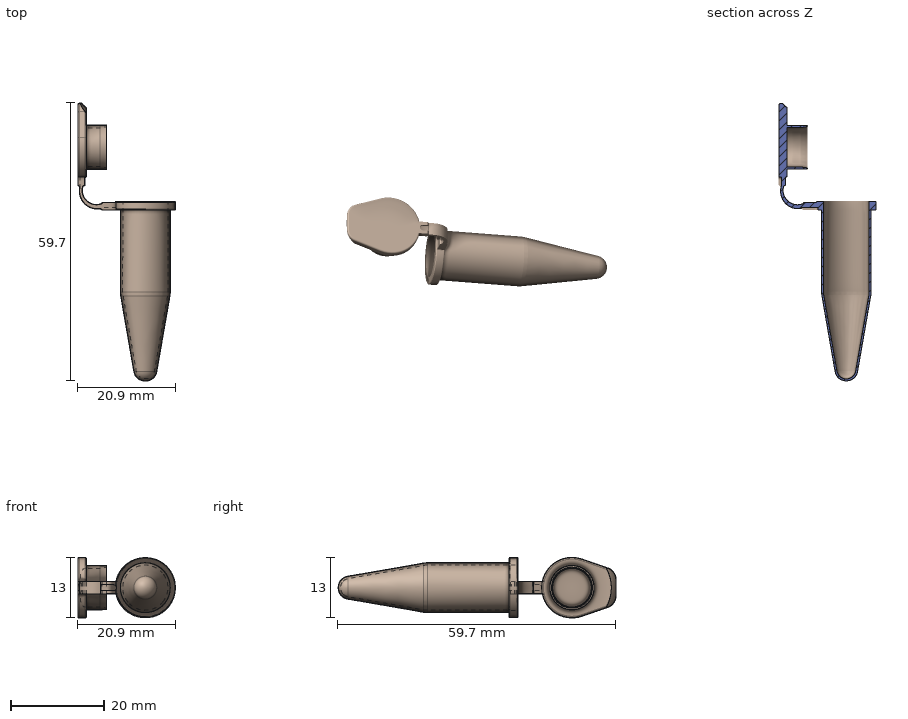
import cadquery as cq
import math


OVERSHOOT = 1.0

tube_length = 38.58
tube_diameter = 10.72
bore_diameter = 9.7
wall = (tube_diameter - bore_diameter) / 2
shoulder_blend = 4.8
cone_half_angle = 9.87
tip_radius = 2.5

flange_diameter = 12.9
flange_thickness = 1.85
flange_fillet = 0.2

lid_diameter = 13.0
lid_thickness = flange_thickness
lid_outer_x = -14.49
lid_inner_x = lid_outer_x + lid_thickness
lid_centre_y = 11.62
lid_end_y = 21.08
lid_side_slope = 19.0
tab_corner_radius = 2.7
tab_bevel_depth = 1.07
tab_bevel_length = 1.0
lid_fillet = 0.35

plug_diameter = 9.55
plug_end_diameter = 9.47
plug_length = 4.33
plug_straight_length = 2.9
plug_bore_diameter = 8.33
plug_mouth_diameter = 8.79

strap_width = 2.7
hinge_outer_radius = 3.85
hinge_outer_centre = (-10.31, 2.22)
hinge_inner_radius = 3.03
hinge_inner_centre = (-10.5, 2.36)
strap_bevel = 0.4

lid_block_inner_x = -13.0
lid_block_end_y = 3.4
lid_block_tip = (-14.05, 3.1)
lid_block_bevel_y = lid_block_tip[1] + strap_bevel

tube_block_top_y = -0.2
tube_block_end_x = -9.25
tube_block_tip = (-9.65, -1.62)
tube_block_bevel_x = tube_block_tip[0] + strap_bevel

pocket_width = 1.26
pocket_depth = 0.5
pocket_wall = 0.12
lid_pocket_end_y = 5.2
tube_pocket_end_x = -6.15



def tube_form(radius, nose_radius, end_depth, blend):
    """Solid of revolution about Y: straight wall, blended shoulder, cone and tangent round nose."""
    angle = math.radians(cone_half_angle)
    nose_centre_depth = end_depth - nose_radius
    tangent_radius = nose_radius * math.cos(angle)
    tangent_depth = nose_centre_depth + nose_radius * math.sin(angle)
    shoulder_depth = tangent_depth - (radius - tangent_radius) / math.tan(angle)
    arc_angle = (math.pi / 2 + angle) / 2
    arc_middle = (
        nose_radius * math.cos(arc_angle),
        -nose_centre_depth - nose_radius * math.sin(arc_angle),
    )
    form = (
        cq.Workplane("XY")
        .lineTo(radius, 0)
        .lineTo(radius, -shoulder_depth)
        .lineTo(tangent_radius, -tangent_depth)
        .threePointArc(arc_middle, (0, -end_depth))
        .close()
        .revolve(360, (0, 0, 0), (0, 1, 0))
    )
    shoulder = cq.selectors.BoxSelector(
        (-2 * radius, -shoulder_depth - wall, -2 * radius),
        (2 * radius, -shoulder_depth + wall, 2 * radius),
        boundingbox=True,
    )
    return form.edges(shoulder).fillet(blend)


def make_tube():
    """Outside of the tube with its flange, before the bore is cut."""
    barrel = tube_form(tube_diameter / 2, tip_radius, tube_length, shoulder_blend)
    flange = (
        cq.Workplane("XZ")
        .circle(flange_diameter / 2)
        .extrude(flange_thickness)
        .edges()
        .fillet(flange_fillet)
    )
    return barrel.union(flange)


def make_bore():
    """Inside of the tube, one wall thickness in from the barrel."""
    return tube_form(bore_diameter / 2, tip_radius - wall, tube_length - wall, shoulder_blend - wall)


def make_lid():
    """Round lid that tapers to a bevelled thumb tab."""
    radius = lid_diameter / 2
    slope = math.radians(lid_side_slope)
    tangent_y = lid_centre_y + radius * math.sin(slope)
    tangent_z = radius * math.cos(slope)
    tab_half_width = tangent_z - (lid_end_y - tangent_y) * math.tan(slope)
    plate = (
        cq.Workplane("YZ", origin=(lid_outer_x, 0, 0))
        .moveTo(tangent_y, tangent_z)
        .threePointArc((lid_centre_y - radius, 0), (tangent_y, -tangent_z))
        .lineTo(lid_end_y, -tab_half_width)
        .lineTo(lid_end_y, tab_half_width)
        .close()
        .extrude(lid_thickness)
        .edges("|X and >Y")
        .fillet(tab_corner_radius)
    )
    slant = tab_bevel_depth / tab_bevel_length
    bevel_start_y = lid_end_y - tab_bevel_length
    bevel_outer_y = lid_end_y + OVERSHOOT
    bevel = (
        cq.Workplane("XY")
        .moveTo(lid_inner_x, bevel_start_y)
        .lineTo(lid_inner_x - slant * (bevel_outer_y - bevel_start_y), bevel_outer_y)
        .lineTo(lid_inner_x, bevel_outer_y)
        .close()
        .revolve(360, (0, lid_centre_y, 0), (1, lid_centre_y, 0))
    )
    return plate.faces("<X or >X").edges().fillet(lid_fillet).cut(bevel)


def make_plug():
    """Hollow plug on the lid: straight, then slightly tapered, open at its free end."""
    plug_end_x = lid_inner_x + plug_length
    taper_x = lid_inner_x + plug_straight_length
    axis_start = (0, lid_centre_y, 0)
    axis_end = (1, lid_centre_y, 0)
    return (
        cq.Workplane("XY")
        .moveTo(lid_inner_x, lid_centre_y + plug_bore_diameter / 2)
        .lineTo(lid_inner_x, lid_centre_y + plug_diameter / 2)
        .lineTo(taper_x, lid_centre_y + plug_diameter / 2)
        .lineTo(plug_end_x, lid_centre_y + plug_end_diameter / 2)
        .lineTo(plug_end_x, lid_centre_y + plug_mouth_diameter / 2)
        .lineTo(taper_x, lid_centre_y + plug_bore_diameter / 2)
        .close()
        .revolve(360, axis_start, axis_end)
    )


def strap_part(points):
    """Prism of the strap's width, centred on Z = 0."""
    return cq.Workplane("XY").polyline(points).close().extrude(strap_width / 2, both=True)


def make_hinge():
    """Thin curved web between the two strap blocks."""
    outer = cq.Workplane("XY").center(*hinge_outer_centre).circle(hinge_outer_radius)
    inner = cq.Workplane("XY").center(*hinge_inner_centre).circle(hinge_inner_radius)
    ring = outer.extrude(strap_width / 2, both=True).cut(inner.extrude(strap_width / 2, both=True))
    far_x = hinge_outer_centre[0] - hinge_outer_radius - OVERSHOOT
    far_y = hinge_outer_centre[1] - hinge_outer_radius - OVERSHOOT
    quarter = strap_part(
        [
            (far_x, far_y),
            (tube_block_end_x, far_y),
            (tube_block_end_x, lid_block_end_y),
            (far_x, lid_block_end_y),
        ]
    )
    return ring.intersect(quarter)


def make_lid_block():
    """Thick end of the strap, flush with the outer face of the lid."""
    root_y = lid_centre_y - lid_diameter / 2 + OVERSHOOT
    return strap_part(
        [
            (lid_outer_x, root_y),
            (lid_outer_x, lid_block_bevel_y),
            lid_block_tip,
            (lid_block_inner_x, lid_block_end_y),
            (lid_block_inner_x, root_y),
        ]
    )


def make_tube_block():
    """Thick end of the strap, flush with the underside of the flange."""
    root_x = -flange_diameter / 2 + OVERSHOOT
    return strap_part(
        [
            (root_x, -flange_thickness),
            (tube_block_bevel_x, -flange_thickness),
            tube_block_tip,
            (tube_block_end_x, tube_block_top_y),
            (root_x, tube_block_top_y),
        ]
    )


def pocket(plane, start, end):
    """Pocket cutter along the plane's local x: square at start, fully rounded at end."""
    half = pocket_width / 2
    direction = math.copysign(1, end - start)
    return (
        plane.moveTo(start, -half)
        .lineTo(end - direction * half, -half)
        .threePointArc((end, 0), (end - direction * half, half))
        .lineTo(start, half)
        .close()
        .extrude(pocket_depth)
    )


def make_pockets():
    """The pocket in the lid block and the one in the tube block."""
    lid_face = cq.Workplane("YZ", origin=(lid_outer_x, 0, 0))
    tube_face = cq.Workplane("ZX", origin=(0, -flange_thickness, 0)).transformed(rotate=(0, 0, 90))
    lid_pocket = pocket(lid_face, lid_block_tip[1] + pocket_wall, lid_pocket_end_y)
    tube_pocket = pocket(tube_face, tube_block_tip[0] + pocket_wall, tube_pocket_end_x)
    return lid_pocket.union(tube_pocket)


tube = (
    make_tube()
    .union(make_lid())
    .union(make_plug())
    .union(make_lid_block())
    .union(make_tube_block())
    .union(make_hinge())
    .cut(make_pockets())
    .cut(make_bore())
)

result = cq.Compound.makeCompound([tube.val()])